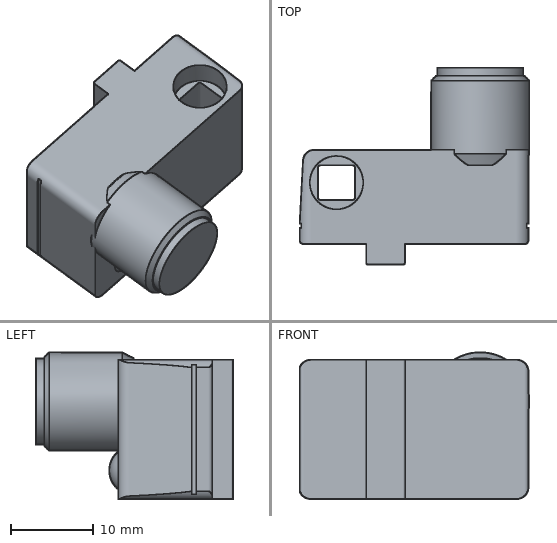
import cadquery as cq
import math


body_width = 27.9
body_height = 17.0
body_front = 2.5
body_back = 14.0
corner_radius = 1.5
left_overhang = 0.1
front_edge_radius = 0.5
back_edge_radius = 1.4

taper_start = 5.0
taper_angle = 3.0

groove_width = 0.5
groove_depth = 0.2

key_left = 8.1
key_width = 4.75
key_edge_radius = 0.25

recess_x = 4.5
recess_y = 10.0
recess_diameter = 6.5
recess_depth = 3.2
socket_width = 4.5
socket_length = 4.2
socket_corner_radius = 0.3

connector_x = 22.0
connector_z = 11.9
connector_diameter = 12.0
connector_end = 24.0
rim_diameter = 10.5
rim_length = 1.0
rim_chamfer = 0.6
root_y = 13.5
root_taper_length = 1.4
root_taper_inset = 0.7

dome_x = connector_x
dome_z = 3.5
dome_height = 1.1
dome_base_radius = 2.3


def make_body():
    """Rounded block, trimmed to the plan outline with a drafted left side."""
    depth = body_back - body_front
    left = -left_overhang
    block = (
        cq.Workplane("XY")
        .box(body_width - left, depth, body_height, centered=False)
        .translate((left, body_front, 0))
        .edges("|Y")
        .fillet(corner_radius)
    )
    taper_inset = (body_back - taper_start) * math.tan(math.radians(taper_angle))
    outline = (
        cq.Workplane("XY")
        .moveTo(0, body_front)
        .lineTo(body_width, body_front)
        .lineTo(body_width, body_back)
        .lineTo(taper_inset, body_back)
        .lineTo(0, taper_start)
        .close()
        .extrude(body_height)
    )
    outline = outline.faces("<Y").edges("|Z").fillet(front_edge_radius)
    tapered_corner = cq.selectors.NearestToPointSelector((taper_inset, body_back, body_height / 2))
    outline = outline.edges(tapered_corner).fillet(back_edge_radius)
    return block.intersect(outline)


def make_groove(x):
    """Vertical groove cutter whose left face is at x."""
    return (
        cq.Workplane("XY")
        .box(groove_depth, groove_width, body_height, centered=False)
        .translate((x, taper_start - groove_width, 0))
    )


def make_key():
    """Upright bar on the front, running into the body."""
    return (
        cq.Workplane("XY")
        .box(key_width, body_front + front_edge_radius, body_height, centered=False)
        .translate((key_left, 0, 0))
        .faces("<Y")
        .edges("|Z")
        .fillet(key_edge_radius)
    )


def make_drive_hole():
    """Round recess from the top and a rounded square hole through the floor."""
    recess = (
        cq.Workplane("XY", origin=(recess_x, recess_y, body_height - recess_depth))
        .circle(recess_diameter / 2)
        .extrude(recess_depth)
    )
    socket = (
        cq.Workplane("XY", origin=(recess_x, recess_y, 0))
        .rect(socket_width, socket_length)
        .extrude(body_height)
        .edges("|Z")
        .fillet(socket_corner_radius)
    )
    return recess.union(socket)


def make_connector():
    """Turned connector along Y: tapered root, barrel, chamfer and narrower rim."""
    radius = connector_diameter / 2
    shoulder = connector_end - rim_length
    profile = [
        (0, root_y - root_taper_length),
        (radius - root_taper_inset, root_y - root_taper_length),
        (radius, root_y),
        (radius, shoulder - rim_chamfer),
        (radius - rim_chamfer, shoulder),
        (rim_diameter / 2, shoulder),
        (rim_diameter / 2, connector_end),
        (0, connector_end),
    ]
    return (
        cq.Workplane("XY")
        .polyline(profile)
        .close()
        .revolve(360, (0, 0), (0, 1))
        .translate((connector_x, 0, connector_z))
    )


def make_dome():
    """Sphere whose cap stands out of the back of the body."""
    radius = (dome_base_radius**2 + dome_height**2) / (2 * dome_height)
    return cq.Workplane("XY").sphere(radius).translate((dome_x, body_back + dome_height - radius, dome_z))


result = (
    make_body()
    .cut(make_groove(0))
    .cut(make_groove(body_width - groove_depth))
    .union(make_key())
    .union(make_connector())
    .union(make_dome())
    .cut(make_drive_hole())
)